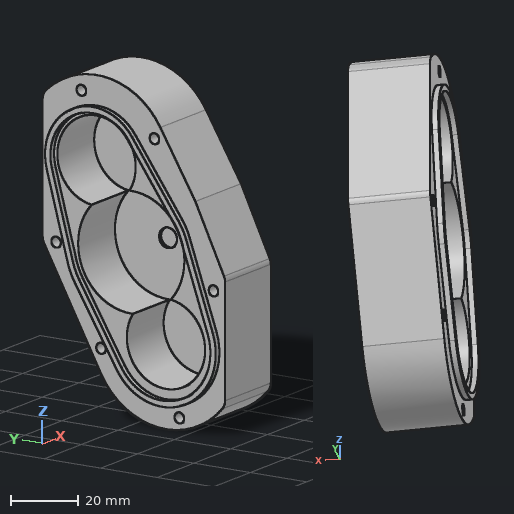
import cadquery as cq
import math

body_thickness = 25.0
lip_height = 2.0
bore_depth = 20.0
shaft_pocket_depth = 1.1

end_offset_y = 12.3
end_offset_z = 26.3
upper_center = (end_offset_y, end_offset_z)
middle_center = (0.0, 0.0)
lower_center = (-end_offset_y, -end_offset_z)
end_bore_radius = 13.9
middle_bore_radius = 18.9
shaft_pocket_radius = 3.2

end_radius = 52.7 - end_offset_z
left_flat_y = 31.5
right_flat_y = -33.3
left_corner = (left_flat_y, -0.8)
right_corner = (right_flat_y, -3.5)
side_kink = (-22.8, 18.9)
corner_radius = 4.0

lip_wall = 1.9
lip_upper_radius = 17.0
lip_middle_radius = 22.0
lip_lower_radius = 19.0

screw_hole_radius = 1.7
screw_hole_centers = [
    (17.7, 47.2),
    (-8.2, 36.0),
    (26.7, -0.7),
    (-29.2, -7.7),
    (10.7, -31.1),
    (-17.1, -48.5),
]


def point_on_circle(center, radius, angle):
    return (center[0] + radius * math.cos(angle), center[1] + radius * math.sin(angle))


def tangent_angle(start, start_radius, end, end_radius, side=-1):
    """Normal angle of the outer tangent from start to end: side 1 is its left, -1 its right."""
    dy = end[0] - start[0]
    dz = end[1] - start[1]
    heading = math.atan2(dz, dy)
    return heading + side * math.acos((start_radius - end_radius) / math.hypot(dy, dz))


def wrap_outline(circles, height):
    """Solid inside a belt around the circles, listed counter-clockwise as (center, radius)."""
    count = len(circles)
    leave_angles = []
    for i in range(count):
        leave_angles.append(tangent_angle(*circles[i], *circles[(i + 1) % count]))
    belt = cq.Workplane("YZ").moveTo(*point_on_circle(*circles[0], leave_angles[0]))
    for i in range(1, count + 1):
        center, radius = circles[i % count]
        arrive = leave_angles[i - 1]
        sweep = (leave_angles[i % count] - arrive) % (2 * math.pi)
        belt = belt.lineTo(*point_on_circle(center, radius, arrive))
        belt = belt.threePointArc(
            point_on_circle(center, radius, arrive + sweep / 2),
            point_on_circle(center, radius, arrive + sweep),
        )
    return belt.close().extrude(height)


def make_body():
    """Plate with two round ends, two flat sides and rounded corners."""
    upper_start = tangent_angle(side_kink, 0, upper_center, end_radius, side=1)
    upper_end = math.acos((left_flat_y - upper_center[0]) / end_radius)
    lower_start = tangent_angle(left_corner, 0, lower_center, end_radius, side=1)
    lower_end = -math.acos((right_flat_y - lower_center[0]) / end_radius)
    top = math.pi / 2
    bottom = -math.pi / 2
    body = (
        cq.Workplane("YZ")
        .moveTo(*right_corner)
        .lineTo(*side_kink)
        .lineTo(*point_on_circle(upper_center, end_radius, upper_start))
        .threePointArc(
            point_on_circle(upper_center, end_radius, top),
            point_on_circle(upper_center, end_radius, upper_end),
        )
        .lineTo(*left_corner)
        .lineTo(*point_on_circle(lower_center, end_radius, lower_start))
        .threePointArc(
            point_on_circle(lower_center, end_radius, bottom),
            point_on_circle(lower_center, end_radius, lower_end),
        )
        .close()
        .extrude(body_thickness)
    )
    upper_flat_end = point_on_circle(upper_center, end_radius, upper_end)
    lower_flat_end = point_on_circle(lower_center, end_radius, lower_end)
    corner_edges = cq.Workplane("YZ")
    for corner in (right_corner, side_kink, left_corner, upper_flat_end, lower_flat_end):
        nearest = cq.selectors.NearestToPointSelector((body_thickness / 2, *corner))
        corner_edges = corner_edges.add(body.edges("|X").edges(nearest))
    return body.newObject(corner_edges.vals()).fillet(corner_radius)


def make_lip():
    """Thin wall standing out from the flange face around the three bores."""
    def belt(inset, height):
        return wrap_outline(
            [
                (upper_center, lip_upper_radius - inset),
                (middle_center, lip_middle_radius - inset),
                (lower_center, lip_lower_radius - inset),
                (middle_center, lip_middle_radius - inset),
            ],
            height,
        )

    return belt(0, -lip_height).cut(belt(lip_wall, -lip_height))


def drill(center, radius, depth):
    return cq.Workplane("YZ").center(*center).circle(radius).extrude(depth)


result = make_body().union(make_lip())

for bore_center, bore_radius in (
    (upper_center, end_bore_radius),
    (middle_center, middle_bore_radius),
    (lower_center, end_bore_radius),
):
    result = result.cut(drill(bore_center, bore_radius, bore_depth))

result = result.cut(drill(middle_center, shaft_pocket_radius, bore_depth + shaft_pocket_depth))

for hole_center in screw_hole_centers:
    result = result.cut(drill(hole_center, screw_hole_radius, body_thickness))